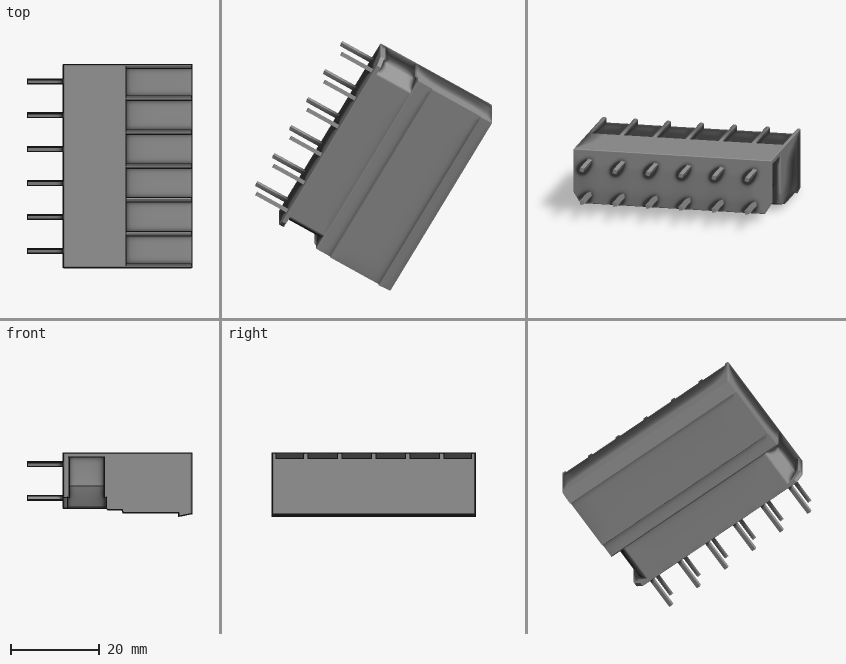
import cadquery as cq
import math

body_length = 29.0
body_width = 45.7
body_height = 14.3
edge_radius = 0.2

block_length = 9.75
block_bottom = 1.8
shelf_start = 10.05
shelf_bottom = 1.45
shelf_end = 13.25
step_run = 0.25
floor_bottom = 0.8
latch_start = 25.95
latch_end_bottom = 0.6

corner_width = 1.6
corner_top = 4.3

cavity_start = 0.95
cavity_depth = 1.35
cavity_bottom_depth = 3.25
slope_top = 6.85
recess_top = 13.3
window_start = 1.3
window_end = 9.33
lip_thickness = 0.3
window_flare = 0.15
slope_edge_radius = 0.6

positions = 6
pitch = body_width / positions
pocket_start = 14.17
pocket_depth = 1.33
rib_width = 1.0
end_rib_width = 0.85
rib_edge_radius = 0.345

pin_length = 8.0
pin_size = 0.9
pin_twist = 15.0
lower_row_height = 4.1
upper_row_height = lower_row_height + pitch

half_width = body_width / 2


def housing():
    """Extruded side profile with trimmed lower corners and rounded outer edges."""
    profile = [
        (0, body_height),
        (0, block_bottom),
        (block_length, block_bottom),
        (shelf_start, shelf_bottom),
        (shelf_end, shelf_bottom),
        (shelf_end + step_run, floor_bottom),
        (latch_start, floor_bottom),
        (latch_start, 0),
        (body_length, latch_end_bottom),
        (body_length, body_height),
    ]
    body = cq.Workplane("XZ").polyline(profile).close().extrude(half_width, both=True)
    for side in (-1, 1):
        corner = [
            (side * half_width, block_bottom),
            (side * half_width, corner_top),
            (side * (half_width - corner_width), block_bottom),
        ]
        body = body.cut(cq.Workplane("YZ").polyline(corner).close().extrude(block_length))
    rounded_edges = (
        body.faces("<X").edges()
        .add(body.faces(">Z").edges("not <X"))
        .add(body.faces(">X").edges("|Z"))
    )
    return rounded_edges.fillet(edge_radius)


def grip_cavity(side):
    """Space behind the lip; its back bends into an inward slope, then rounds into the underside."""
    outer = side * half_width
    lip_back = side * (half_width - lip_thickness)
    back = side * (half_width - cavity_depth)
    slope_angle = math.atan2(cavity_bottom_depth - cavity_depth, slope_top - block_bottom)
    inward = side * math.sin(slope_angle)
    downward = math.cos(slope_angle)

    bend_tangent = slope_edge_radius * math.tan(slope_angle / 2)
    bend_start = (back, slope_top + bend_tangent)
    bend_end = (back - bend_tangent * inward, slope_top - bend_tangent * downward)

    bottom_tangent = slope_edge_radius * math.tan((math.pi / 2 - slope_angle) / 2)
    bottom_corner_y = side * (half_width - cavity_bottom_depth)
    bottom_round_start = (
        bottom_corner_y + bottom_tangent * inward,
        block_bottom + bottom_tangent * downward,
    )
    bottom_round_end = (bottom_corner_y - side * bottom_tangent, block_bottom)

    return (
        cq.Workplane("YZ", origin=(cavity_start, 0, 0))
        .moveTo(lip_back, recess_top)
        .lineTo(back, recess_top)
        .lineTo(*bend_start)
        .tangentArcPoint(bend_end, relative=False)
        .lineTo(*bottom_round_start)
        .tangentArcPoint(bottom_round_end, relative=False)
        .lineTo(outer, block_bottom)
        .lineTo(outer, corner_top)
        .lineTo(lip_back, corner_top)
        .close()
        .extrude(block_length - cavity_start)
    )


def grip_window(side):
    """Opening through the lip, flared toward the outside."""
    outer = side * half_width
    lip_back = side * (half_width - lip_thickness)
    outline = [
        (window_start, outer),
        (window_end, outer),
        (window_end - window_flare, lip_back),
        (window_start + window_flare, lip_back),
    ]
    return (
        cq.Workplane("XY", origin=(0, 0, corner_top))
        .polyline(outline).close().extrude(recess_top - corner_top)
    )


def marking_pocket(index):
    """Pocket open toward the cable face, flared at the top by the rounded rib edges."""
    low_rib = end_rib_width if index == 0 else rib_width / 2
    high_rib = end_rib_width if index == positions - 1 else rib_width / 2
    low_wall = index * pitch - half_width + low_rib
    high_wall = (index + 1) * pitch - half_width - high_rib
    floor = body_height - pocket_depth
    round_start = body_height - rib_edge_radius
    return (
        cq.Workplane("YZ", origin=(pocket_start, 0, 0))
        .moveTo(low_wall - rib_edge_radius, body_height)
        .radiusArc((low_wall, round_start), rib_edge_radius)
        .lineTo(low_wall, floor)
        .lineTo(high_wall, floor)
        .lineTo(high_wall, round_start)
        .radiusArc((high_wall + rib_edge_radius, body_height), rib_edge_radius)
        .close()
        .extrude(body_length - pocket_start)
    )


def pin(center_y, center_z, twist):
    """Square pin, rooted in the housing behind the pin face."""
    return (
        cq.Workplane("YZ", origin=(-pin_length, center_y, center_z))
        .transformed(rotate=(0, 0, twist))
        .rect(pin_size, pin_size)
        .extrude(pin_length + edge_radius)
    )


result = housing()
for side in (-1, 1):
    result = result.cut(grip_cavity(side)).cut(grip_window(side))
for index in range(positions):
    result = result.cut(marking_pocket(index))
    center_y = (index + 0.5) * pitch - half_width
    result = result.union(pin(center_y, upper_row_height, pin_twist))
    result = result.union(pin(center_y, lower_row_height, -pin_twist))